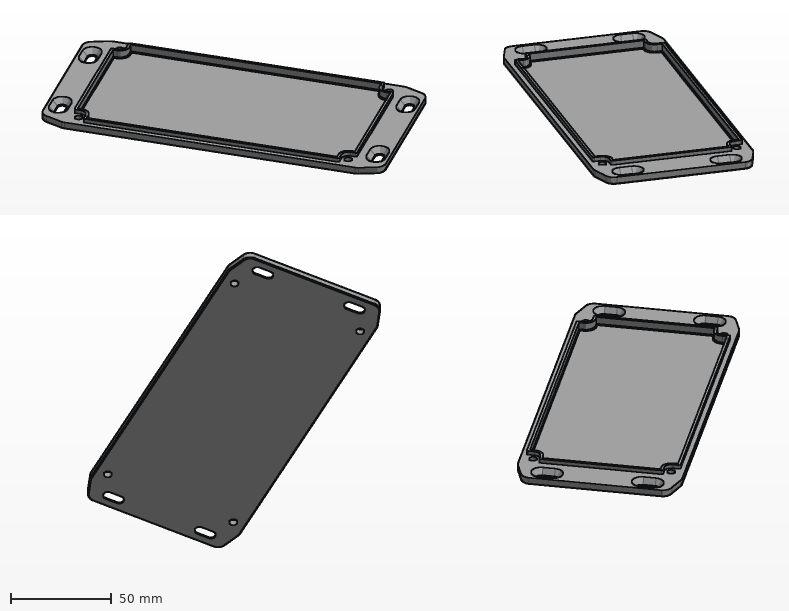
import cadquery as cq
import math

plate_length = 178.2
plate_width = 83.0
plate_thickness = 4.0
taper_length = 12.7
taper_width = 4.6
plate_corner_radius = 5.0
bottom_chamfer = 0.5

lip_length = 146.9
lip_width = 77.7
lip_height = 2.1
lip_thickness = 1.5
lip_corner_radius = 0.7
overall_height = plate_thickness + lip_height

floor_thickness = 1.8
floor_chamfer = 0.5

screw_x = 70.0
screw_y = 35.0
screw_diameter = 4.0
notch_radius = 3.5

slot_x = 82.5
slot_y = 25.5
slot_straight = 6.2
slot_width = 4.8
slot_top_width = 9.8
slot_countersink_depth = 3.0

CORNERS = [(1, 1), (-1, 1), (-1, -1), (1, -1)]


def make_plate():
    """Flat plate whose ends taper in towards rounded corners."""
    half_length = plate_length / 2
    half_width = plate_width / 2
    taper_x = half_length - taper_length
    taper_y = half_width - taper_width
    outline = [
        (half_length, -taper_y),
        (half_length, taper_y),
        (taper_x, half_width),
        (-taper_x, half_width),
        (-half_length, taper_y),
        (-half_length, -taper_y),
        (-taper_x, -half_width),
        (taper_x, -half_width),
    ]
    plate = cq.Workplane("XY").polyline(outline).close().extrude(plate_thickness)
    plate = plate.edges("|Z").fillet(plate_corner_radius)
    return plate.faces("<Z").edges().chamfer(bottom_chamfer)


def notched_block(inset, bottom, top):
    """Block with the lip outline moved inward by inset, notched around each screw hole."""
    height = top - bottom
    length = lip_length - 2 * inset
    width = lip_width - 2 * inset
    radius = notch_radius + inset
    diagonal = radius * math.sqrt(0.5)
    block = cq.Workplane("XY").workplane(offset=bottom).rect(length, width).extrude(height)
    for side_x, side_y in CORNERS:
        inner_x = side_x * (screw_x - radius)
        inner_y = side_y * (screw_y - radius)
        outer_x = side_x * plate_length / 2
        outer_y = side_y * plate_width / 2
        arc_start = (inner_x, side_y * screw_y)
        arc_middle = (side_x * (screw_x - diagonal), side_y * (screw_y - diagonal))
        arc_end = (side_x * screw_x, inner_y)
        notch = (
            cq.Workplane("XY")
            .workplane(offset=bottom)
            .moveTo(*arc_start)
            .threePointArc(arc_middle, arc_end)
            .lineTo(outer_x, inner_y)
            .lineTo(outer_x, outer_y)
            .lineTo(inner_x, outer_y)
            .close()
            .extrude(height)
        )
        block = block.cut(notch)
    return block


def make_lip():
    """Solid block standing on the plate, with its eight outer corners rounded."""
    lip = notched_block(0, plate_thickness, overall_height)
    middle_z = plate_thickness + lip_height / 2
    end_corner = (lip_length / 2, screw_y - notch_radius)
    side_corner = (screw_x - notch_radius, lip_width / 2)
    for side_x, side_y in CORNERS:
        for x, y in (end_corner, side_corner):
            edge = cq.NearestToPointSelector((side_x * x, side_y * y, middle_z))
            lip = lip.edges("|Z").edges(edge).fillet(lip_corner_radius)
    return lip


def make_pocket():
    """Pocket that leaves the lip as a thin wall above a chamfered floor."""
    pocket = notched_block(lip_thickness, floor_thickness, overall_height)
    return pocket.faces("<Z").edges().chamfer(floor_chamfer)


def at_corners(x, y):
    """One point in each corner, mirrored about both axes."""
    return [(side_x * x, side_y * y) for side_x, side_y in CORNERS]


def make_slots():
    """Mounting slots along Y, flared towards the top."""
    centres = at_corners(slot_x, slot_y)
    through = (
        cq.Workplane("XY")
        .pushPoints(centres)
        .slot2D(slot_straight + slot_width, slot_width, 90)
        .extrude(plate_thickness)
    )
    flare_inset = (slot_top_width - slot_width) / 2
    flare_angle = math.degrees(math.atan(flare_inset / slot_countersink_depth))
    flare = (
        cq.Workplane("XY")
        .workplane(offset=plate_thickness)
        .pushPoints(centres)
        .slot2D(slot_straight + slot_top_width, slot_top_width, 90)
        .extrude(-slot_countersink_depth, taper=flare_angle)
    )
    return through.union(flare)


def make_screw_holes():
    """Plain through holes in the notches."""
    centres = at_corners(screw_x, screw_y)
    return cq.Workplane("XY").pushPoints(centres).circle(screw_diameter / 2).extrude(plate_thickness)


result = make_plate().union(make_lip())
result = result.cut(make_pocket())
result = result.cut(make_slots())
result = result.cut(make_screw_holes())